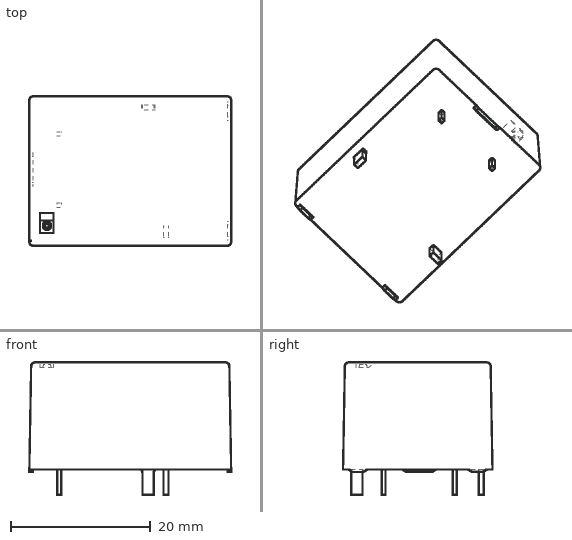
import cadquery as cq
import math

case_length = 28.9
case_width = 21.4
overall_height = 18.95
pin_length = 3.6
case_height = overall_height - pin_length
draft_angle = 1.0
edge_radius = 0.6
draft_slope = math.tan(math.radians(draft_angle))
half_length = case_length / 2

foot_height = 0.33
foot_thickness = 0.55
foot_bevel = 0.5
front_foot_width = 4.75
front_foot_y = 0.2
rear_foot_width = 2.65
rear_foot_y = 8.55

pin_row_y = 0.2
coil_pin_side = 0.6
coil_pin_x = -10.15
coil_pin_spacing = 10.16
blade_width = 1.65
blade_thickness = 0.75
blade_spacing = 17.78
cross_blade_x = 2.55
long_blade_x = 5.1
pin_embed = 0.5

shoulder_height = 0.36
shoulder_lip = 0.05
shoulder_flare = 0.14

pocket_length = 2.87
pocket_width = 1.9
pocket_x = -11.93
pocket_y_min = -8.84
pocket_depth = 0.75
ramp_length = 1.07

pip_x = -11.9
pip_y = -7.82
pip_base_height = 0.4
pip_base_radius = 0.6
pip_ledge_radius = 0.5
pip_tip_radius = 0.37
pip_top_radius = 0.28
pip_tip_height = pocket_depth - pip_base_height


def make_drafted_block():
    """Rounded drafted block, reaching down to the bottom of the feet."""
    bottom_width = case_width + 2 * foot_height * draft_slope
    block = (
        cq.Workplane("XY", origin=(0, 0, -foot_height))
        .rect(case_length, bottom_width)
        .extrude(case_height + foot_height, taper=draft_angle)
    )
    return block.edges("not <Z").fillet(edge_radius)


def make_foot(end, center_y, width):
    """Trapezoidal foot at one end (-1 or +1), continuing the end wall downward."""
    half_top = width / 2
    half_bottom = half_top - foot_bevel
    return (
        cq.Workplane("YZ", origin=(end * half_length, 0, 0))
        .polyline([
            (center_y - half_top, 0),
            (center_y - half_bottom, -foot_height),
            (center_y + half_bottom, -foot_height),
            (center_y + half_top, 0),
        ])
        .close()
        .extrude(-end * foot_thickness)
    )


def make_feet():
    feet = make_foot(-1, front_foot_y, front_foot_width)
    for side in (-1, 1):
        feet = feet.union(make_foot(1, side * rear_foot_y, rear_foot_width))
    return feet


def make_case():
    """Drafted block with everything below the rim removed except the feet."""
    below_rim = (
        cq.Workplane("XY")
        .rect(2 * case_length, 2 * case_width)
        .extrude(-foot_height)
    )
    return make_drafted_block().cut(below_rim.cut(make_feet()))


def make_pin(x, y, size_x, size_y):
    pin = cq.Workplane("XY", origin=(x, y, -pin_length)).rect(size_x, size_y)
    return pin.extrude(pin_length + pin_embed)


def make_shoulder(x, y):
    """Flared root that widens the crosswise blade just below the case."""
    left = x - blade_width / 2
    right = x + blade_width / 2
    return (
        cq.Workplane("XZ", origin=(0, y, 0))
        .polyline([
            (left - shoulder_flare, 0),
            (left - shoulder_flare, -shoulder_lip),
            (left, -shoulder_height),
            (right, -shoulder_height),
            (right + shoulder_flare, -shoulder_lip),
            (right + shoulder_flare, 0),
        ])
        .close()
        .extrude(blade_thickness / 2, both=True)
    )


def make_pip_cone(bottom_z, height, bottom_radius, top_radius):
    """One tapered stage of the vent pip."""
    return (
        cq.Workplane("XY", origin=(pip_x, pip_y, bottom_z))
        .circle(bottom_radius)
        .workplane(offset=height)
        .circle(top_radius)
        .loft()
    )


def make_vent_pocket():
    """Cutter for the pocket, leaving a stepped pip standing on its floor."""
    floor_z = case_height - pocket_depth
    y_max = pocket_y_min + pocket_length
    pocket = (
        cq.Workplane("YZ", origin=(pocket_x, 0, 0))
        .polyline([
            (pocket_y_min, case_height),
            (pocket_y_min, floor_z),
            (y_max - ramp_length, floor_z),
            (y_max, case_height),
        ])
        .close()
        .extrude(pocket_width / 2, both=True)
    )
    ledge_z = floor_z + pip_base_height
    pip_base = make_pip_cone(floor_z, pip_base_height, pip_base_radius, pip_ledge_radius)
    pip_tip = make_pip_cone(ledge_z, pip_tip_height, pip_tip_radius, pip_top_radius)
    return pocket.cut(pip_base).cut(pip_tip)


result = make_case().cut(make_vent_pocket())

for side in (-1, 1):
    coil_y = pin_row_y + side * coil_pin_spacing / 2
    result = result.union(make_pin(coil_pin_x, coil_y, coil_pin_side, coil_pin_side))

cross_blade_y = pin_row_y + blade_spacing / 2
long_blade_y = pin_row_y - blade_spacing / 2
result = result.union(make_pin(cross_blade_x, cross_blade_y, blade_width, blade_thickness))
result = result.union(make_shoulder(cross_blade_x, cross_blade_y))
result = result.union(make_pin(long_blade_x, long_blade_y, blade_thickness, blade_width))